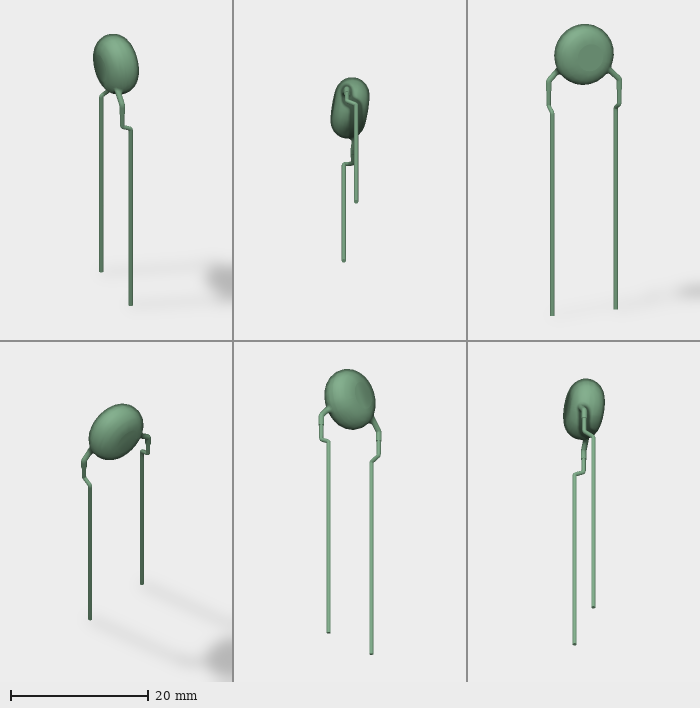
import cadquery as cq

body_diameter = 9.0
body_thickness = 5.0
rim_radius = body_thickness / 2
face_radius = body_diameter / 2 - rim_radius

overall_height = 43.0
lead_x = 5.0
lead_y = 1.38
lead_bottom_z = body_diameter / 2 - overall_height
short_lead_gap = 0.15

sleeve_diameter = 0.8
sleeve_bottom_z = -5.3
sleeve_corner_z = -3.83
sleeve_bend_radius = 0.65
sleeve_reach = 3.0
body_blend_radius = 0.5

wire_diameter = 0.6
jog_top_z = -7.55
jog_bottom_z = -8.25
jog_bend_radius = 0.4


def make_body():
    return (
        cq.Workplane("XY")
        .moveTo(0, -rim_radius)
        .lineTo(face_radius, -rim_radius)
        .threePointArc((face_radius + rim_radius, 0), (face_radius, rim_radius))
        .lineTo(0, rim_radius)
        .close()
        .revolve(360, (0, 0, 0), (0, 1, 0))
    )


def swept_rod(points, diameter, bend_radius):
    """Round rod along a planar path that starts vertically; inner corners are rounded."""
    corners = [cq.Vector(*point) for point in points]
    path = cq.Wire.makePolygon(corners).fillet(bend_radius)
    return cq.Workplane("XY", origin=points[0]).circle(diameter / 2).sweep(cq.Workplane(path))


def make_sleeve():
    """Sleeve of the lead at +X, which leaves the body on the -Y side."""
    points = [
        (lead_x, -lead_y, sleeve_bottom_z),
        (lead_x, -lead_y, sleeve_corner_z),
        (lead_x - sleeve_reach, -lead_y, sleeve_corner_z + sleeve_reach),
    ]
    return swept_rod(points, sleeve_diameter, sleeve_bend_radius)


def make_wire(bottom_z):
    """Bare wire of the lead at +X, from inside the sleeve down to bottom_z."""
    points = [
        (lead_x, 0, bottom_z),
        (lead_x, 0, jog_bottom_z),
        (lead_x, -lead_y, jog_top_z),
        (lead_x, -lead_y, sleeve_bottom_z),
    ]
    return swept_rod(points, wire_diameter, jog_bend_radius)


def half_turn(shape):
    return shape.rotate((0, 0, 0), (0, 0, 1), 180)


sleeve = make_sleeve()
coated_body = make_body().union(sleeve).union(half_turn(sleeve))
coated_body = coated_body.edges("%BSPLINE").fillet(body_blend_radius)

long_wire = make_wire(lead_bottom_z)
short_wire = half_turn(make_wire(lead_bottom_z + short_lead_gap))
result = coated_body.union(long_wire).union(short_wire)